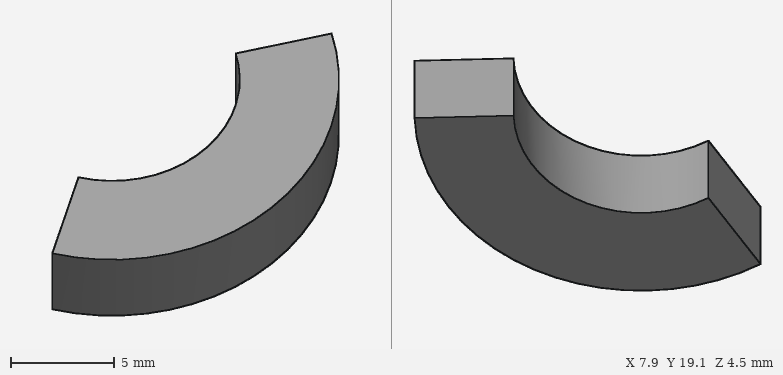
import cadquery as cq
import math

span = 19.05
inner_radius = 6.2
height = 4.5
half_angle = math.radians(60)

outer_radius = span / (2 * math.sin(half_angle))


def arc_point(radius, angle):
    """Point on a circle about the origin, with the angle measured from +X."""
    return (radius * math.cos(angle), radius * math.sin(angle))


result = (
    cq.Workplane("XY")
    .moveTo(*arc_point(inner_radius, -half_angle))
    .lineTo(*arc_point(outer_radius, -half_angle))
    .threePointArc(arc_point(outer_radius, 0), arc_point(outer_radius, half_angle))
    .lineTo(*arc_point(inner_radius, half_angle))
    .threePointArc(arc_point(inner_radius, 0), arc_point(inner_radius, -half_angle))
    .close()
    .extrude(height)
)